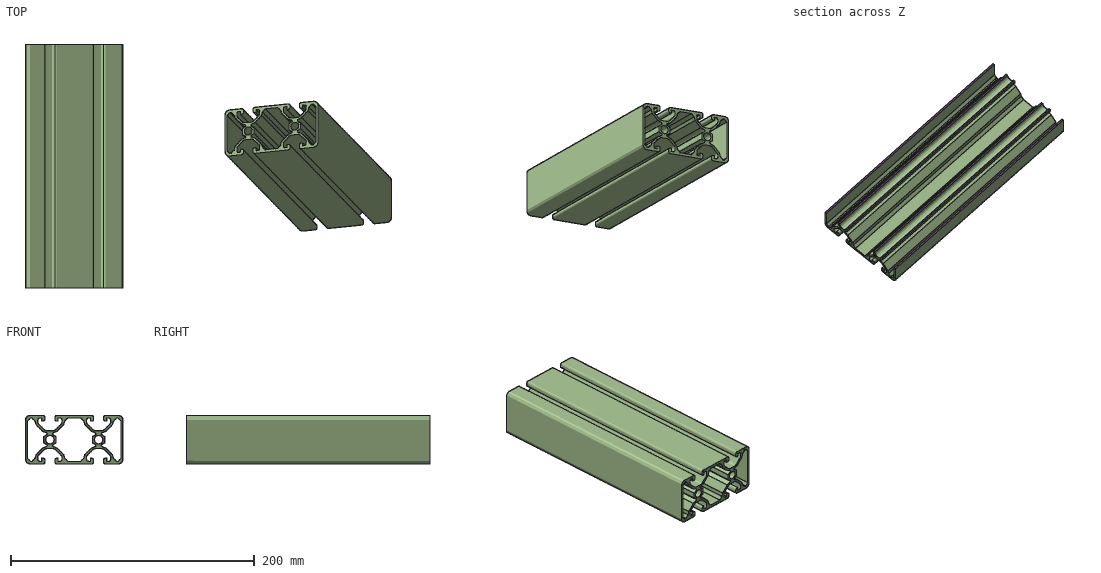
import cadquery as cq
import math

WIDTH = 80.0
HEIGHT = 40.0
LENGTH = 200.0
CORNER_RADIUS = 4.0
INNER_CORNER_BEVEL = 2.3

SIDE_WALL = 1.8
FACE_WALL = 2.3
WEB_WALL = 1.6

FLANK_ANGLE = math.radians(45)

CORE_SPACING = WIDTH / 2
HOLE_DIAMETER = 6.8
BOSS_WIDTH = 10.2
BOSS_SIDE_HEIGHT = 5.2
BOSS_ROOF_HALF_WIDTH = 1.0
BOSS_ROOF_SLOPE = math.tan(math.radians(30))
NOTCH_FILLET = 0.93

SLOT_HALF_WIDTH = 4.0
SLOT_DEPTH = 12.6
FLOOR_HALF_WIDTH = 2.1
FLOOR_FILLET = 4.2
UNDERCUT_HALF_WIDTH = 9.8
UNDERCUT_FILLET = 1.6
FLANK_FILLET = 2.0
LIP_THICKNESS = 2.75
LIP_DEPTH = 4.8
LIP_OUTER_FILLET = 1.8
LIP_INNER_FILLET = 1.5

WEB_HALF_WIDTH = UNDERCUT_HALF_WIDTH + WEB_WALL
BACK_FLOOR_HALF_WIDTH = 1.0
BACK_SLOPE = math.tan(FLANK_ANGLE / 2)
BACK_KNEE = (6.0, 13.1)
BACK_FLOOR = (BACK_FLOOR_HALF_WIDTH, BACK_KNEE[1] + (BACK_KNEE[0] - BACK_FLOOR_HALF_WIDTH) * BACK_SLOPE)
ROOT_KNEE = (12.2, 4.8)

FACE_Z = HEIGHT / 2


def prism(outline):
    """Extrude a closed XZ outline over the full length, centred on Y."""
    return outline.extrude(LENGTH / 2, both=True)


def block(half_width, bottom_z, top_z):
    """Full-length block, centred on X = 0."""
    outline = cq.Workplane("XZ").center(0, (bottom_z + top_z) / 2)
    return prism(outline.rect(2 * half_width, top_z - bottom_z))


def round_pair(body, corner, radius):
    """Round the lengthwise edge at a corner of the upper half, and its mirror image in X = 0.

    A corner is (distance from the middle, depth below the upper face).
    """
    x, depth = corner
    for edge_x in (-x, x):
        nearest = cq.selectors.NearestToPointSelector((edge_x, 0, FACE_Z - depth))
        body = body.edges("|Y").edges(nearest).fillet(radius)
    return body


def flank_top(foot, half_width):
    """Corner where a flank at FLANK_ANGLE, rising outward from its foot, reaches the given half width."""
    x, depth = foot
    return (half_width, depth - (half_width - x) * math.tan(FLANK_ANGLE))


def bowl_prism(corners):
    """Prism symmetric about X = 0, through the given corners from its floor up to its rim."""
    right_side = [(x, FACE_Z - depth) for x, depth in corners]
    left_side = [(-x, z) for x, z in reversed(right_side)]
    return prism(cq.Workplane("XZ").polyline(right_side + left_side).close())


def slot_web():
    """Solid web body of the upper slot, flared where it joins the face wall."""
    flank_end = flank_top(BACK_KNEE, WEB_HALF_WIDTH)
    root_end = flank_top(ROOT_KNEE, ROOT_KNEE[0] + ROOT_KNEE[1] - FACE_WALL)
    return bowl_prism([BACK_FLOOR, BACK_KNEE, flank_end, ROOT_KNEE, root_end])


def slot_void():
    """Empty space of the upper slot, with the two lips left standing beside its opening."""
    floor_fillet_setback = FLOOR_FILLET * math.tan(FLANK_ANGLE / 2)
    floor_corner = (FLOOR_HALF_WIDTH + floor_fillet_setback, SLOT_DEPTH)
    side_foot = flank_top(floor_corner, UNDERCUT_HALF_WIDTH)
    rim = (UNDERCUT_HALF_WIDTH, FACE_WALL)
    void = bowl_prism([floor_corner, side_foot, rim])
    void = round_pair(void, floor_corner, FLOOR_FILLET)
    void = round_pair(void, side_foot, FLANK_FILLET)
    void = round_pair(void, rim, UNDERCUT_FILLET)
    lip_tip_z = FACE_Z - LIP_DEPTH
    void = void.cut(block(SLOT_HALF_WIDTH + LIP_THICKNESS, lip_tip_z, FACE_Z))
    void = void.union(block(SLOT_HALF_WIDTH, lip_tip_z, FACE_Z))
    void = round_pair(void, (SLOT_HALF_WIDTH, LIP_DEPTH), LIP_INNER_FILLET)
    return void.union(opening_flare())


def opening_flare():
    """Rounded entry of the upper slot: a strip with the round of each lip removed."""
    half_width = SLOT_HALF_WIDTH + LIP_OUTER_FILLET
    round_z = FACE_Z - LIP_OUTER_FILLET
    flare = block(half_width, round_z, FACE_Z)
    lip_rounds = cq.Workplane("XZ").pushPoints([(-half_width, round_z), (half_width, round_z)])
    return flare.cut(prism(lip_rounds.circle(LIP_OUTER_FILLET)))


def boss_top(x):
    """Height of the boss's sloping roof at a distance x from its middle."""
    return BOSS_SIDE_HEIGHT / 2 + (BOSS_WIDTH / 2 - x) * BOSS_ROOF_SLOPE


def boss():
    """Octagonal core boss: upright sides, sloping roofs and a flat buried in each web."""
    roof_end = (BOSS_ROOF_HALF_WIDTH, boss_top(BOSS_ROOF_HALF_WIDTH))
    eave = (BOSS_WIDTH / 2, BOSS_SIDE_HEIGHT / 2)
    outline = [roof_end, eave]
    outline += [(x, -z) for x, z in reversed(outline)]
    outline += [(-x, z) for x, z in reversed(outline)]
    return prism(cq.Workplane("XZ").polyline(outline).close())


def notch_corner():
    """Corner where the sloping roof of the boss meets the lower flank of the upper web."""
    floor_x, floor_depth = BACK_FLOOR
    web_bottom = FACE_Z - floor_depth - floor_x * BACK_SLOPE
    x = (boss_top(0) - web_bottom) / (BOSS_ROOF_SLOPE + BACK_SLOPE)
    return (x, FACE_Z - boss_top(x))


def web_frame():
    """Both webs joined to the boss between them, with rounded notches where they meet."""
    upper_half = boss().union(slot_web())
    upper_half = round_pair(upper_half, notch_corner(), NOTCH_FILLET)
    return upper_half.union(upper_half.mirror("XY"))


def shell():
    """Rectangular tube, rounded outside and bevelled inside."""
    outer = prism(cq.Workplane("XZ").rect(WIDTH, HEIGHT)).edges("|Y").fillet(CORNER_RADIUS)
    inner = prism(cq.Workplane("XZ").rect(WIDTH - 2 * SIDE_WALL, HEIGHT - 2 * FACE_WALL))
    return outer.cut(inner.edges("|Y").chamfer(INNER_CORNER_BEVEL))


def profile():
    """Tube with a web frame and an upper and a lower slot at each core."""
    frame = web_frame()
    void = slot_void()
    hole = prism(cq.Workplane("XZ").circle(HOLE_DIAMETER / 2))
    voids = hole.union(void).union(void.mirror("XY"))
    body = shell()
    for center_x in (-CORE_SPACING / 2, CORE_SPACING / 2):
        body = body.union(frame.translate((center_x, 0, 0)))
        body = body.cut(voids.translate((center_x, 0, 0)))
    return body


result = profile()